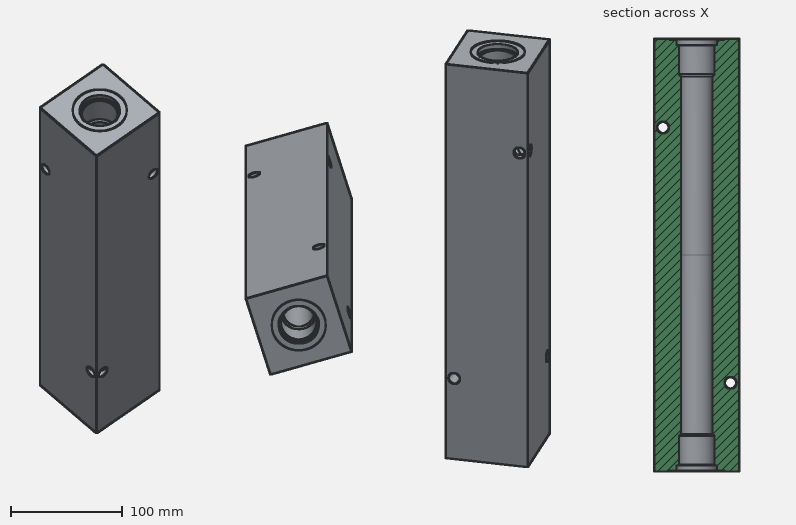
import cadquery as cq

length = 387.5
width = 76.5
edge_chamfer = 0.5

bore_diameter = 28.0
socket_diameter = 31.8
socket_depth = 31.0
socket_chamfer = 0.8
mouth_diameter = 36.0
mouth_depth = 4.5
recess_diameter = 48.5
recess_depth = 0.8

cross_hole_diameter = 10.0
cross_hole_offset = 30.2
cross_hole_height = 114.3
cross_hole_chamfer = 0.5


def make_block():
    return cq.Workplane("XY").box(width, width, length).edges().chamfer(edge_chamfer)


def make_cross_holes(plane, upper_side):
    """Two through holes normal to the plane; upper_side is the sign of the upper hole's offset."""
    upper = (upper_side * cross_hole_offset, cross_hole_height)
    lower = (-upper_side * cross_hole_offset, -cross_hole_height)
    return (
        cq.Workplane(plane)
        .pushPoints([upper, lower])
        .circle(cross_hole_diameter / 2)
        .extrude(width, both=True)
    )


def make_bore():
    """Revolved half profile of the bore, from mid-length up to the top face, plus its mirror image."""
    top = length / 2
    recess_floor = top - recess_depth
    mouth_floor = recess_floor - mouth_depth
    socket_floor = recess_floor - socket_depth
    bore_radius = bore_diameter / 2
    socket_radius = socket_diameter / 2
    mouth_radius = mouth_diameter / 2
    recess_radius = recess_diameter / 2
    socket_step = socket_radius - bore_radius
    upper_half = (
        cq.Workplane("XZ")
        .lineTo(bore_radius, 0)
        .lineTo(bore_radius, socket_floor - socket_step)
        .lineTo(socket_radius, socket_floor)
        .lineTo(socket_radius, mouth_floor - socket_chamfer)
        .lineTo(socket_radius + socket_chamfer, mouth_floor)
        .lineTo(mouth_radius, mouth_floor)
        .lineTo(mouth_radius, recess_floor)
        .lineTo(recess_radius, recess_floor)
        .lineTo(recess_radius, top)
        .lineTo(0, top)
        .close()
        .revolve(360, (0, 0, 0), (0, 1, 0))
    )
    return upper_half.union(upper_half.mirror("XY"))


drilled_block = (
    make_block()
    .cut(make_cross_holes("XZ", -1))
    .cut(make_cross_holes("YZ", 1))
)

result = drilled_block.edges("%CIRCLE").chamfer(cross_hole_chamfer).cut(make_bore())